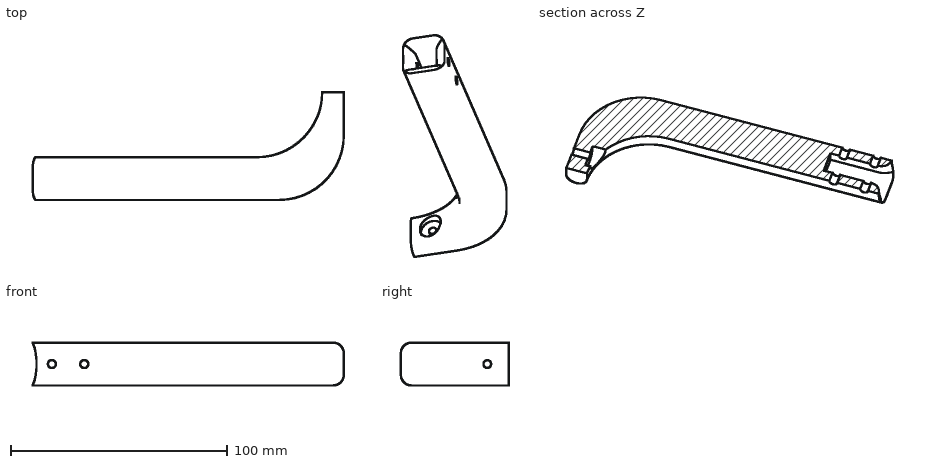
import cadquery as cq

length = 144.0
reach = 50.0
bar_size = 19.9
arm_thickness = 10.1
outer_bend_radius = 30.0
edge_radius = 4.97

inner_bend_radius = reach - bar_size
arm_inner_x = length - arm_thickness

post_radius = 27.5

socket_size = 10.0
socket_depth = 30.0
mouth_radius = 4.9

cross_hole_diameter = 3.6
first_cross_hole_x = 8.9
cross_hole_spacing = 15.0

screw_hole_diameter = 3.5
screw_head_diameter = 11.0
screw_head_depth = 2.0
screw_y = reach - bar_size / 2

bar_center_y = bar_size / 2
half_height = bar_size / 2

selection_margin = 0.1


def make_bent_arm():
    """Bent bar with rounded long edges above and below."""
    diagonal = 0.5 ** 0.5
    outer_center = (length - outer_bend_radius, outer_bend_radius)
    inner_center = (arm_inner_x - inner_bend_radius, reach)
    outer_mid = (
        outer_center[0] + outer_bend_radius * diagonal,
        outer_center[1] - outer_bend_radius * diagonal,
    )
    inner_mid = (
        inner_center[0] + inner_bend_radius * diagonal,
        inner_center[1] - inner_bend_radius * diagonal,
    )
    arm = (
        cq.Workplane("XY")
        .workplane(offset=-half_height)
        .lineTo(outer_center[0], 0)
        .threePointArc(outer_mid, (length, outer_center[1]))
        .lineTo(length, reach)
        .lineTo(arm_inner_x, reach)
        .threePointArc(inner_mid, (inner_center[0], bar_size))
        .lineTo(0, bar_size)
        .close()
        .extrude(bar_size)
    )
    long_edges = arm.faces("<Z or >Z").edges("not(<X or >Y)")
    return long_edges.fillet(edge_radius)


def make_socket_envelope():
    """Block around the whole arm that carries the concave end and flared socket."""
    post_center_x = -((post_radius ** 2 - half_height ** 2) ** 0.5)
    concave_end_x = post_center_x + post_radius
    post = (
        cq.Workplane("XZ", origin=(post_center_x, bar_size, 0))
        .circle(post_radius)
        .extrude(bar_size)
    )
    socket = cq.Workplane("XY").box(
        socket_depth, socket_size, socket_size, centered=(False, True, True)
    ).translate((0, bar_center_y, 0))
    mouth_block = cq.Workplane("XY").box(
        length, bar_size, bar_size, centered=(False, False, True)
    )
    mouth_block = mouth_block.cut(post).cut(socket)
    rim_reach = socket_size / 2 + selection_margin
    rim = cq.selectors.BoxSelector(
        (0, bar_center_y - rim_reach, -rim_reach),
        (concave_end_x + selection_margin, bar_center_y + rim_reach, rim_reach),
    )
    mouth_block = mouth_block.edges(rim).fillet(mouth_radius)
    bend_block = cq.Workplane("XY").box(
        length / 2, reach, bar_size, centered=(False, False, True)
    ).translate((length / 2, 0, 0))
    return mouth_block.union(bend_block)


def make_cross_holes():
    hole_x = [first_cross_hole_x, first_cross_hole_x + cross_hole_spacing]
    return (
        cq.Workplane("XZ", origin=(0, bar_size, 0))
        .pushPoints([(x, 0) for x in hole_x])
        .circle(cross_hole_diameter / 2)
        .extrude(bar_size)
    )


def make_screw_hole():
    """Through hole along X with a head recess opening toward the inner bend."""
    tool_length = inner_bend_radius
    shank = (
        cq.Workplane("YZ", origin=(length, screw_y, 0))
        .circle(screw_hole_diameter / 2)
        .extrude(-tool_length)
    )
    head = (
        cq.Workplane("YZ", origin=(arm_inner_x + screw_head_depth, screw_y, 0))
        .circle(screw_head_diameter / 2)
        .extrude(-tool_length / 2)
    )
    return shank.union(head)


result = (
    make_bent_arm()
    .intersect(make_socket_envelope())
    .cut(make_cross_holes())
    .cut(make_screw_hole())
)